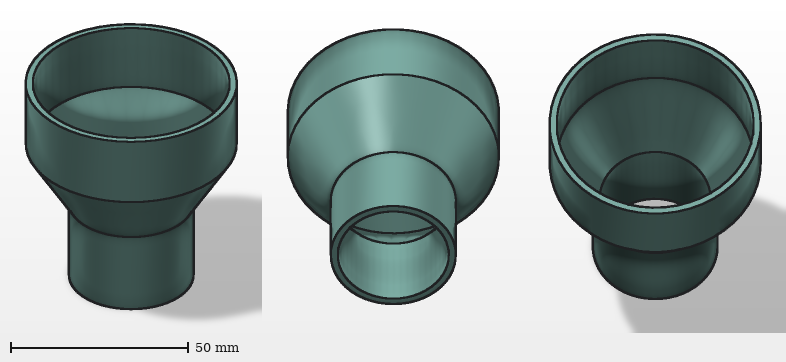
import cadquery as cq

total_height = 65.0
wide_outer_diameter = 59.6
wide_inner_diameter = 55.6
narrow_outer_diameter = 35.3
narrow_inner_diameter = 31.3
narrow_height = 24.5
cone_height = 20.0
bore_cone_raise = 0.5


def stepped_cone(narrow_diameter, wide_diameter, cone_base):
    """Solid of revolution about Z: narrow cylinder, cone, wide cylinder."""
    narrow_radius = narrow_diameter / 2
    wide_radius = wide_diameter / 2
    profile = [
        (0, 0),
        (narrow_radius, 0),
        (narrow_radius, cone_base),
        (wide_radius, cone_base + cone_height),
        (wide_radius, total_height),
        (0, total_height),
    ]
    return cq.Workplane("XZ").polyline(profile).close().revolve(360, (0, 0), (0, 1))


body = stepped_cone(narrow_outer_diameter, wide_outer_diameter, narrow_height)
bore = stepped_cone(narrow_inner_diameter, wide_inner_diameter, narrow_height + bore_cone_raise)
result = body.cut(bore)